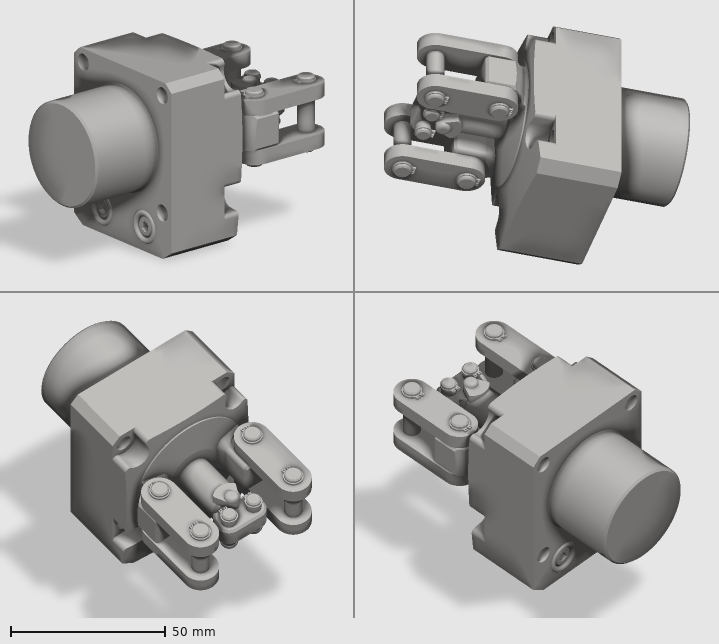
import cadquery as cq
import math


body_half_width = 25.0
body_top = 25.0
body_bottom = -36.0
top_chamfer = (3.1, 2.8)
bottom_chamfer = (4.5, 3.15)

crown_flat_radius = 9.8
crown_flat_y = 32.7
crown_rim_radius = 21.2
crown_rim_y = 30.7
slope_start_y = 30.2
slope_rise = 0.14
slope_outer_radius = 55.55

cylinder_radius = 17.9
cylinder_length = 25.5
cylinder_chamfer = 0.7
cylinder_foot = 0.5

bolt_offset = 20.3
bolt_hole_radius = 2.9
notch_floor_y = 22.2
notch_radius = 4.7
notch_lip = 1.5
notch_overshoot = 4.6

port_x = 11.0
port_z = -27.7
seal_ring_radius = 4.7
seal_tube_radius = 1.0
seal_protrusion = 0.51
port_recess_depth = 0.9
plug_radii = (3.8, 3.0)
plug_face_depth = 0.3
hex_across_flats = 3.2
hex_depth = 1.85

lug_inner_x = 11.2
lug_half_height = 6.0
lug_end_y = 45.6
lug_chamfer = 0.9
lug_inner_round = 1.5
lug_foot_y = 35.0
lug_foot_base_y = 29.6
lug_foot_taper = 28.0
lug_cone_y = 31.6

link_radius = 6.0
link_x = body_half_width - link_radius
link_thickness = 5.0
link_inner_z = lug_half_height
link_outer_z = link_inner_z + link_thickness
link_tip_y = 67.1
link_free_pin_y = link_tip_y - link_radius
link_lug_pin_y = 39.4
link_pin_radius = 3.0
link_pin_half_length = 13.0
lug_clearance_radius = 7.1

pin_chamfer = 0.5
clip_thickness = 0.7
clip_rim = 0.4
ear_width = 1.2
ear_gap = 0.7
ear_reach = 1.2
ear_hole_radius = 0.3

rod_radius = 6.0
rod_inner_end_y = 23.1
rod_shoulder_y = 50.6
rod_chamfer = 0.6
neck_radius = 5.6
neck_half_height = 3.9
neck_top_y = 53.1
neck_hollow_radius = 8.15
neck_hollow_y = 59.2

head_half_height = 3.5
head_chamfer = 0.79
head_pin_x = 5.0
head_pin_y = 58.1
head_corner_radius = 4.3
head_pin_radius = 2.5
head_pin_half_length = 7.9
head_clip_z = 5.9
foot_tip_x = 6.8
foot_tip_y = 51.9
foot_swoop = (8.4, 54.4)
foot_width = 0.5

web_y = 53.0
web_half_height = 7.2
web_corner_x = 4.6
web_corner_fillet = 0.9
button_radius = 2.5
button_top_z = 8.6
button_round = 1.3


def mirrored_pair(shape):
    """The shape together with its mirror image across the YZ plane."""
    return shape.union(shape.mirror("YZ"))


def z_cylinder(x, y, radius, half_height):
    return (
        cq.Workplane("XY").center(x, y).circle(radius)
        .extrude(half_height, both=True)
    )


def z_slab(half_height):
    """Slab across Z, wider than the neck it trims."""
    return cq.Workplane("XY").box(4 * neck_radius, 4 * neck_top_y, 2 * half_height)


def turned(points):
    """Revolve a (radius, y) outline about the Y axis."""
    return cq.Workplane("XY").polyline(points).close().revolve(360, (0, 0, 0), (0, 1, 0))


def main_block():
    """Chamfered rectangle along Y, ending in the turned crown."""
    top_x = body_half_width - top_chamfer[0]
    bottom_x = body_half_width - bottom_chamfer[0]
    block = (
        cq.Workplane("XZ")
        .polyline([
            (top_x, body_top),
            (body_half_width, body_top - top_chamfer[1]),
            (body_half_width, body_bottom + bottom_chamfer[1]),
            (bottom_x, body_bottom),
            (-bottom_x, body_bottom),
            (-body_half_width, body_bottom + bottom_chamfer[1]),
            (-body_half_width, body_top - top_chamfer[1]),
            (-top_x, body_top),
        ])
        .close()
        .extrude(-crown_flat_y)
    )
    slope_outer_y = slope_start_y - slope_rise * (slope_outer_radius - crown_rim_radius)
    crown = turned([
        (0, 0),
        (slope_outer_radius, 0),
        (slope_outer_radius, slope_outer_y),
        (crown_rim_radius, slope_start_y),
        (crown_rim_radius, crown_rim_y),
        (crown_flat_radius, crown_flat_y),
        (0, crown_flat_y),
    ])
    return block.intersect(crown)


def front_cylinder():
    """Cylinder on the mounting face, flared at its foot."""
    return turned([
        (0, 0),
        (cylinder_radius + cylinder_foot, 0),
        (cylinder_radius, -cylinder_foot),
        (cylinder_radius, cylinder_chamfer - cylinder_length),
        (cylinder_radius - cylinder_chamfer, -cylinder_length),
        (0, -cylinder_length),
    ])


def notch_prism(profile):
    return profile.close().extrude(-(crown_flat_y - notch_floor_y))


def upper_notch():
    """Rear relief around an upper bolt hole, open on the top and the side."""
    reach = notch_radius + notch_lip
    lip_x = body_half_width - notch_lip - bolt_offset
    lip_z = math.sqrt(reach**2 - lip_x**2)
    joint = notch_radius / reach
    lip_turn = math.atan2(lip_z, lip_x) / 2
    lip_mid = (lip_x + notch_lip * math.cos(lip_turn), -lip_z + notch_lip * math.sin(lip_turn))
    inner = notch_radius / math.sqrt(2)
    outside = body_half_width - bolt_offset + notch_overshoot
    side = body_half_width - bolt_offset
    profile = (
        cq.Workplane("XZ", origin=(bolt_offset, notch_floor_y, bolt_offset))
        .moveTo(side, -lip_z)
        .threePointArc(lip_mid, (lip_x * joint, -lip_z * joint))
        .threePointArc((-inner, -inner), (-lip_z * joint, lip_x * joint))
        .threePointArc((lip_mid[1], lip_mid[0]), (-lip_z, side))
        .lineTo(-lip_z, outside)
        .lineTo(outside, outside)
        .lineTo(outside, -lip_z)
    )
    return notch_prism(profile)


def lower_notch():
    """Rear relief around a lower bolt hole, open on the side only."""
    side = body_half_width - bolt_offset
    lip_x = side - notch_lip
    mouth = notch_radius + notch_lip
    bend = notch_lip * (1 - math.sqrt(0.5))
    profile = (
        cq.Workplane("XZ", origin=(bolt_offset, notch_floor_y, -bolt_offset))
        .moveTo(side, mouth)
        .threePointArc((side - bend, notch_radius + bend), (lip_x, notch_radius))
        .lineTo(0, notch_radius)
        .threePointArc((-notch_radius, 0), (0, -notch_radius))
        .lineTo(lip_x, -notch_radius)
        .threePointArc((side - bend, -notch_radius - bend), (side, -mouth))
        .lineTo(side + notch_overshoot, -mouth)
        .lineTo(side + notch_overshoot, mouth)
    )
    return notch_prism(profile)


def bolt_holes():
    corners = [(x, z) for x in (-bolt_offset, bolt_offset) for z in (-bolt_offset, bolt_offset)]
    return cq.Workplane("XZ").pushPoints(corners).circle(bolt_hole_radius).extrude(-crown_flat_y)


def lug_section(y):
    """Lug outline at +X in the plane at y: chamfered outside, rounded inside."""
    low_z = lug_half_height - lug_chamfer
    chamfer_x = body_half_width - lug_chamfer
    round_x = lug_inner_x + lug_inner_round
    round_z = lug_half_height - lug_inner_round
    bend = lug_inner_round * (1 - math.sqrt(0.5))
    return (
        cq.Workplane("XZ", origin=(0, y, 0))
        .moveTo(round_x, lug_half_height)
        .lineTo(chamfer_x, lug_half_height)
        .lineTo(body_half_width, low_z)
        .lineTo(body_half_width, -low_z)
        .lineTo(chamfer_x, -lug_half_height)
        .lineTo(round_x, -lug_half_height)
        .threePointArc((lug_inner_x + bend, bend - lug_half_height), (lug_inner_x, -round_z))
        .lineTo(lug_inner_x, round_z)
        .threePointArc((lug_inner_x + bend, lug_half_height - bend), (round_x, lug_half_height))
        .close()
    )


def lug():
    """Lug at +X on a flared foot, trimmed by a cone on the outside."""
    arm = lug_section(lug_foot_base_y).extrude(lug_foot_base_y - lug_end_y).faces(">Y").chamfer(lug_chamfer)
    foot_height = lug_foot_y - lug_foot_base_y
    foot = lug_section(lug_foot_y).extrude(foot_height, taper=-lug_foot_taper)
    for side in (1, -1):
        swing_room = (
            cq.Workplane("XY", origin=(link_x, link_lug_pin_y, side * link_inner_z))
            .circle(lug_clearance_radius)
            .extrude(side * link_thickness)
        )
        foot = foot.cut(swing_room)

    outer_side = cq.Workplane("XY").box(
        body_half_width, lug_end_y, 2 * body_top, centered=(False, False, True)
    )
    foot = foot.intersect(outer_side)

    cone_run = lug_end_y - lug_cone_y
    trim = turned([
        (0, lug_foot_base_y),
        (crown_rim_radius, lug_foot_base_y),
        (crown_rim_radius, lug_cone_y),
        (crown_rim_radius + cone_run, lug_end_y),
        (0, lug_end_y),
    ])
    pin_hole = z_cylinder(link_x, link_lug_pin_y, link_pin_radius, lug_half_height)
    return arm.union(foot).intersect(trim).cut(pin_hole)


def port_cut():
    """Annular seat around a bevelled plug face with a hexagon socket."""
    seat = turned([
        (0, 0),
        (seal_ring_radius + seal_tube_radius, 0),
        (seal_ring_radius + seal_tube_radius, port_recess_depth),
        (plug_radii[0], port_recess_depth),
        (plug_radii[1], plug_face_depth),
        (0, plug_face_depth),
    ])
    socket = (
        cq.Workplane("XZ", origin=(0, plug_face_depth, 0))
        .transformed(rotate=(0, 0, 90))
        .polygon(6, hex_across_flats / math.cos(math.pi / 6))
        .extrude(-hex_depth)
    )
    return seat.union(socket).translate((port_x, 0, port_z))


def seal_ring():
    return (
        cq.Workplane("XY")
        .center(seal_ring_radius, seal_tube_radius - seal_protrusion)
        .circle(seal_tube_radius)
        .revolve(360, (-seal_ring_radius, 0, 0), (-seal_ring_radius, 1, 0))
        .translate((port_x, 0, port_z))
    )


def rod_bore():
    return (
        cq.Workplane("XZ", origin=(0, rod_inner_end_y, 0))
        .circle(rod_radius)
        .extrude(rod_inner_end_y - crown_flat_y)
    )


def make_housing():
    housing = main_block().union(front_cylinder())
    housing = housing.cut(mirrored_pair(upper_notch())).cut(mirrored_pair(lower_notch()))
    housing = housing.cut(bolt_holes())
    housing = housing.cut(mirrored_pair(port_cut())).union(mirrored_pair(seal_ring()))
    return housing.union(mirrored_pair(lug())).cut(rod_bore())


def retaining_clip(pin_radius):
    """Ring around the Z axis with two drilled ears pointing to -Y."""
    ring_radius = pin_radius + clip_rim
    clip = cq.Workplane("XY").circle(ring_radius).extrude(clip_thickness)
    ear_x = (ear_gap + ear_width) / 2
    ear_end = pin_radius + ear_reach
    ears = (
        cq.Workplane("XY")
        .pushPoints([(-ear_x, -ear_end / 2), (ear_x, -ear_end / 2)])
        .rect(ear_width, ear_end)
        .extrude(clip_thickness)
    )
    hole_y = -(ring_radius + ear_end) / 2
    holes = (
        cq.Workplane("XY")
        .pushPoints([(-ear_x, hole_y), (ear_x, hole_y)])
        .circle(ear_hole_radius)
        .extrude(clip_thickness)
    )
    return clip.union(ears).cut(holes)


def clipped_pin(x, y, radius, half_length, clip_z):
    """Chamfered pin along Z with a retaining clip near each end."""
    pin = z_cylinder(0, 0, radius, half_length).faces("<Z or >Z").chamfer(pin_chamfer)
    clip = retaining_clip(radius).translate((0, 0, clip_z))
    return pin.union(clip).union(clip.mirror("XY")).translate((x, y, 0))


def make_link(x):
    """Two parallel plates joined by a free pin and a lug pin."""
    middle_y = (link_free_pin_y + link_lug_pin_y) / 2
    length = link_free_pin_y - link_lug_pin_y + 2 * link_radius
    plate = (
        cq.Workplane("XY", origin=(x, middle_y, link_inner_z))
        .slot2D(length, 2 * link_radius, 90)
        .extrude(link_thickness)
    )
    link = plate.union(plate.mirror("XY"))
    for pin_y in (link_free_pin_y, link_lug_pin_y):
        link = link.union(clipped_pin(x, pin_y, link_pin_radius, link_pin_half_length, link_outer_z))
    return link


def rod_shaft():
    """Rod with a chamfered shoulder and a flattened, hollowed neck."""
    shaft = (
        cq.Workplane("XZ", origin=(0, rod_inner_end_y, 0))
        .circle(rod_radius)
        .extrude(rod_inner_end_y - rod_shoulder_y)
        .faces(">Y").chamfer(rod_chamfer)
    )
    neck_length = neck_top_y - rod_shoulder_y
    neck = (
        cq.Workplane("XZ", origin=(0, rod_shoulder_y, 0))
        .circle(neck_radius)
        .extrude(-neck_length)
    )
    hollow = z_cylinder(0, neck_hollow_y, neck_hollow_radius, neck_half_height)
    flattened_neck = neck.intersect(z_slab(neck_half_height)).cut(hollow)
    head_root = neck.intersect(z_slab(head_half_height))
    return shaft.union(flattened_neck).union(head_root)


def crosshead():
    """Rounded head with a hooked foot on either side of the neck."""
    bend = head_corner_radius * math.sqrt(0.5)
    top_y = head_pin_y + head_corner_radius
    side_x = head_pin_x + head_corner_radius
    head = (
        cq.Workplane("XY")
        .moveTo(-head_pin_x, top_y)
        .lineTo(head_pin_x, top_y)
        .threePointArc((head_pin_x + bend, head_pin_y + bend), (side_x, head_pin_y))
        .threePointArc(foot_swoop, (foot_tip_x, foot_tip_y))
        .lineTo(-foot_tip_x, foot_tip_y)
        .threePointArc((-foot_swoop[0], foot_swoop[1]), (-side_x, head_pin_y))
        .threePointArc((-head_pin_x - bend, head_pin_y + bend), (-head_pin_x, top_y))
        .close()
        .extrude(head_half_height, both=True)
        .faces("<Z or >Z").chamfer(head_chamfer)
    )
    foot_inner_x = foot_tip_x - foot_width
    under_foot = (
        cq.Workplane("XY")
        .moveTo(-foot_inner_x, rod_shoulder_y)
        .lineTo(foot_inner_x, rod_shoulder_y)
        .lineTo(foot_inner_x, foot_tip_y)
        .lineTo(neck_radius, neck_top_y)
        .threePointArc((0, neck_hollow_y - neck_hollow_radius), (-neck_radius, neck_top_y))
        .lineTo(-foot_inner_x, foot_tip_y)
        .close()
        .extrude(head_half_height, both=True)
    )
    return head.cut(under_foot)


def button_web():
    """Sector-shaped web, concentric with the button at its narrow end."""
    drop = math.sqrt(rod_radius**2 - web_corner_x**2)
    tangent_angle = math.atan2(-drop, web_corner_x) + math.acos(button_radius / rod_radius)
    tangent = (button_radius * math.cos(tangent_angle), button_radius * math.sin(tangent_angle))
    web = (
        cq.Workplane("XY", origin=(0, web_y, 0))
        .moveTo(*tangent)
        .lineTo(web_corner_x, -drop)
        .threePointArc((0, -rod_radius), (-web_corner_x, -drop))
        .lineTo(-tangent[0], tangent[1])
        .threePointArc((0, button_radius), tangent)
        .close()
        .extrude(web_half_height, both=True)
    )
    web = web.edges("|Z").edges("<X or >X").fillet(web_corner_fillet)
    button = z_cylinder(0, web_y, button_radius, button_top_z).faces("<Z or >Z").fillet(button_round)
    return web.union(button)


def make_piston_rod():
    rod = rod_shaft().union(crosshead()).union(button_web())
    for pin_x in (-head_pin_x, head_pin_x):
        rod = rod.union(
            clipped_pin(pin_x, head_pin_y, head_pin_radius, head_pin_half_length, head_clip_z)
        )
    return rod


housing = make_housing()
piston_rod = make_piston_rod()
links = [make_link(x) for x in (-link_x, link_x)]

result = cq.Compound.makeCompound([
    housing.solids().val(),
    piston_rod.solids().val(),
    *[link.solids().val() for link in links],
])